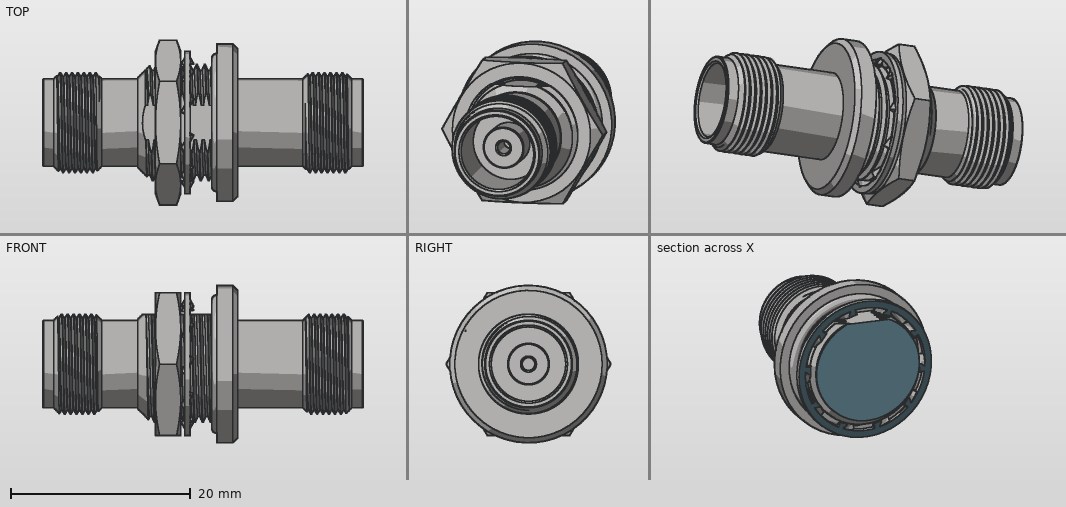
import cadquery as cq
import math


LENGTH = 35.6
BARREL_RADIUS = 4.88
END_CHAMFER = 0.1
BORE_RADIUS = 4.13
BORE_CHAMFER = 0.2
BORE_DEPTH = 6.4
INSULATOR_RADIUS = 2.3
INSULATOR_CHAMFER = 0.1
INSULATOR_RECESS = 3.3
CONTACT_HOLE_RADIUS = 0.7
CONTACT_HOLE_DEPTH = 3.55
CONTACT_CHAMFER = 0.18

COUPLING_CREST = 5.55
COUPLING_ROOT = 5.13
COUPLING_PITCH = 0.66
COUPLING_ROOT_FLAT = 0.07
LEFT_COUPLING = (1.2, 6.55)
RIGHT_COUPLING = (28.9, 34.32)
LEFT_COUPLING_CREST_X = 2.1
RIGHT_COUPLING_CREST_X = 30.15

MOUNT_START = 10.55
MOUNT_START_RADIUS = 5.0
MOUNT_CREST = 6.48
MOUNT_ROOT = 5.85
MOUNT_PITCH = 0.9
MOUNT_ROOT_FLAT = 0.25
MOUNT_CREST_X = 17.35
MOUNT_FLAT_HEIGHT = 5.52

CREST_FLAT = 0.07
CREST_CLEARANCE = 0.18
BAR_OVERRUN = 2.15
RIDGE_OVERLAP = 0.05

FLANGE_START = 19.33
FLANGE_END = 21.68
FLANGE_RADIUS = 8.75
FLANGE_CHAMFER = 0.57
GASKET_SECTION_RADIUS = 0.57
GASKET_RING_RADIUS = 7.12

NUT_START = 12.5
NUT_END = 15.35
NUT_ACROSS_FLATS = 15.88
NUT_FACE_RADIUS = 7.85
NUT_CHAMFER_LENGTH = 0.48
NUT_MOUTH_RADIUS = 6.35

WASHER_START = 15.77
WASHER_THICKNESS = 0.6
WASHER_RADIUS = 7.95
WASHER_INNER_RADIUS = 7.12
TOOTH_COUNT = 10
TOOTH_WIDTH = 2.03
TOOTH_THICKNESS = 0.55
TOOTH_TWIST = 29.0
TOOTH_ROOT_OVERLAP = 0.18
FIRST_TOOTH_ANGLE = 19.0


def revolved(points):
    """Solid of revolution about the X axis from (x, radius) points."""
    return cq.Workplane("XY").polyline(points).close().revolve(360, (0, 0), (1, 0))


def cylinder(start, end, radius):
    return cq.Workplane("YZ", origin=(start, 0, 0)).circle(radius).extrude(end - start)


def thread_ridge(start, end, crest_x, pitch, crest, root, root_flat):
    """Right-handed helical ridge covering start to end, with a crest above the axis at crest_x."""
    turns_before = math.ceil((crest_x - start) / pitch) + 0.5
    ridge_start = crest_x - turns_before * pitch
    turns = math.ceil((end - ridge_start) / pitch) + 1
    crest_half = CREST_FLAT / 2
    slope = (pitch - CREST_FLAT - root_flat) / 2 / (crest - root)
    base = root - RIDGE_OVERLAP
    base_half = crest_half + slope * (crest - base)
    path = cq.Wire.makeHelix(pitch, turns * pitch, base)
    ridge = (
        cq.Workplane("XZ")
        .polyline([(base, -base_half), (crest, -crest_half), (crest, crest_half), (base, base_half)])
        .close()
        .sweep(cq.Workplane(path), isFrenet=True)
    )
    return ridge.rotate((0, 0, 0), (0, 1, 0), 90).translate((ridge_start, 0, 0))


def thread_bar(start, end, crest_x, pitch, crest, root, root_flat):
    """Round bar with a helical ridge around it, more than long enough to be trimmed to start and end."""
    ridge = thread_ridge(start, end, crest_x, pitch, crest, root, root_flat)
    return cylinder(start - BAR_OVERRUN, end + BAR_OVERRUN, root).union(ridge)


def coupling_thread(start, end, crest_x):
    """Threaded sleeve with a 45 degree chamfer at both ends."""
    bar = thread_bar(
        start, end, crest_x, COUPLING_PITCH, COUPLING_CREST, COUPLING_ROOT, COUPLING_ROOT_FLAT
    )
    envelope_radius = COUPLING_CREST + CREST_CLEARANCE
    chamfer = envelope_radius - BARREL_RADIUS
    envelope = revolved([
        (start, 0),
        (start, BARREL_RADIUS),
        (start + chamfer, envelope_radius),
        (end - chamfer, envelope_radius),
        (end, BARREL_RADIUS),
        (end, 0),
    ])
    return bar.intersect(envelope)


def mounting_thread():
    """Thread that carries the nut, all the way round, with a 45 degree lead-in."""
    bar = thread_bar(
        MOUNT_START, FLANGE_START, MOUNT_CREST_X, MOUNT_PITCH, MOUNT_CREST, MOUNT_ROOT, MOUNT_ROOT_FLAT
    )
    envelope_radius = MOUNT_CREST + CREST_CLEARANCE
    envelope = revolved([
        (MOUNT_START, 0),
        (MOUNT_START, MOUNT_START_RADIUS),
        (MOUNT_START + envelope_radius - MOUNT_START_RADIUS, envelope_radius),
        (FLANGE_START, envelope_radius),
        (FLANGE_START, 0),
    ])
    return bar.intersect(envelope)


def above_flat():
    """Block that is cut away to leave the flat on top of the mounting thread."""
    return (
        cq.Workplane("XY", origin=(MOUNT_START, 0, MOUNT_FLAT_HEIGHT))
        .rect(FLANGE_START - MOUNT_START, 2 * MOUNT_CREST, centered=(False, True))
        .extrude(MOUNT_CREST)
    )


def flange():
    return cylinder(FLANGE_START, FLANGE_END, FLANGE_RADIUS).faces(">X").chamfer(FLANGE_CHAMFER)


def jack_cavity():
    """Space inside the left jack: the bore around the insulator and the contact hole."""
    floor_hole = INSULATOR_RECESS + CONTACT_HOLE_DEPTH
    return revolved([
        (0, 0),
        (0, BORE_RADIUS + BORE_CHAMFER),
        (BORE_CHAMFER, BORE_RADIUS),
        (BORE_DEPTH, BORE_RADIUS),
        (BORE_DEPTH, INSULATOR_RADIUS),
        (INSULATOR_RECESS + INSULATOR_CHAMFER, INSULATOR_RADIUS),
        (INSULATOR_RECESS, INSULATOR_RADIUS - INSULATOR_CHAMFER),
        (INSULATOR_RECESS, CONTACT_HOLE_RADIUS + CONTACT_CHAMFER),
        (INSULATOR_RECESS + CONTACT_CHAMFER, CONTACT_HOLE_RADIUS),
        (floor_hole, CONTACT_HOLE_RADIUS),
        (floor_hole, 0),
    ])


def make_gasket():
    """O-ring, half of it sunk in the flange face."""
    return (
        cq.Workplane("XY")
        .center(FLANGE_START, GASKET_RING_RADIUS)
        .circle(GASKET_SECTION_RADIUS)
        .revolve(360, (-FLANGE_START, -GASKET_RING_RADIUS), (0.35 - FLANGE_START, -GASKET_RING_RADIUS))
    )


def make_housing(rod, gasket):
    barrel = cylinder(0, LENGTH, BARREL_RADIUS).faces("<X or >X").chamfer(END_CHAMFER)
    left_cavity = jack_cavity()
    right_cavity = left_cavity.mirror("YZ").translate((LENGTH, 0, 0))
    return (
        barrel
        .union(coupling_thread(*LEFT_COUPLING, LEFT_COUPLING_CREST_X))
        .union(coupling_thread(*RIGHT_COUPLING, RIGHT_COUPLING_CREST_X))
        .union(rod.cut(above_flat()))
        .union(flange().cut(gasket))
        .cut(left_cavity)
        .cut(right_cavity)
    )


def make_nut(rod):
    """Hexagon nut with flats on top and bottom and corners chamfered on both faces."""
    corner_radius = NUT_ACROSS_FLATS / math.sqrt(3)
    hexagon = (
        cq.Workplane("YZ", origin=(NUT_START, 0, 0))
        .polygon(6, 2 * corner_radius)
        .extrude(NUT_END - NUT_START)
    )
    corner_cones = revolved([
        (NUT_START, 0),
        (NUT_START, NUT_FACE_RADIUS),
        (NUT_START + NUT_CHAMFER_LENGTH, corner_radius),
        (NUT_END - NUT_CHAMFER_LENGTH, corner_radius),
        (NUT_END, NUT_FACE_RADIUS),
        (NUT_END, 0),
    ])
    mouth_depth = NUT_MOUTH_RADIUS - MOUNT_ROOT
    mouths = revolved([
        (NUT_START, 0),
        (NUT_START, NUT_MOUTH_RADIUS),
        (NUT_START + mouth_depth, MOUNT_ROOT),
        (NUT_START + mouth_depth, 0),
    ]).union(revolved([
        (NUT_END, 0),
        (NUT_END, NUT_MOUTH_RADIUS),
        (NUT_END - mouth_depth, MOUNT_ROOT),
        (NUT_END - mouth_depth, 0),
    ]))
    return hexagon.intersect(corner_cones).cut(rod).cut(mouths)


def washer_tooth():
    """Tooth straight above the axis that twists as it reaches inward from the ring."""
    root_height = WASHER_INNER_RADIUS + TOOTH_ROOT_OVERLAP
    middle_x = WASHER_START + WASHER_THICKNESS / 2
    return (
        cq.Workplane("XY", origin=(middle_x, 0, MOUNT_CREST))
        .transformed(rotate=(0, 0, -TOOTH_TWIST))
        .rect(TOOTH_THICKNESS, TOOTH_WIDTH)
        .workplane(offset=root_height - MOUNT_CREST)
        .transformed(rotate=(0, 0, TOOTH_TWIST))
        .rect(TOOTH_THICKNESS, TOOTH_WIDTH)
        .loft(ruled=True)
    )


def make_washer():
    washer_end = WASHER_START + WASHER_THICKNESS
    ring = cylinder(WASHER_START, washer_end, WASHER_RADIUS).cut(
        cylinder(WASHER_START, washer_end, WASHER_INNER_RADIUS)
    )
    tooth = washer_tooth()
    teeth = [
        tooth.rotate((0, 0, 0), (1, 0, 0), FIRST_TOOTH_ANGLE + index * 360 / TOOTH_COUNT).val()
        for index in range(TOOTH_COUNT)
    ]
    return cq.Workplane(ring.val().fuse(*teeth))


rod = mounting_thread()
gasket = make_gasket()
housing = make_housing(rod, gasket)
nut = make_nut(rod)
washer = make_washer()

result = cq.Compound.makeCompound([housing.val(), nut.val(), washer.val(), gasket.val()])